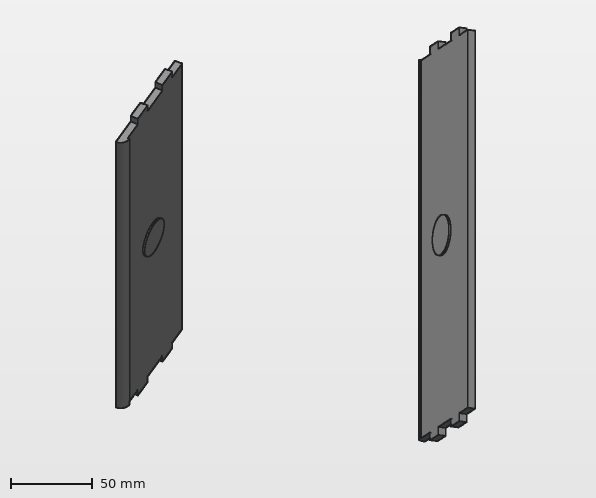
import cadquery as cq

plate_thickness = 5.0
plate_width = 76.2
overall_height = 251.5
tab_height = 5.0
plate_height = overall_height - 2 * tab_height
front_y = -plate_width / 2
back_y = plate_width / 2

lip_radius = 6.3
lip_y = front_y + lip_radius
relief_height = lip_radius - plate_thickness
pad_diameter = 25.1

tab_width = 12.5
tab_spacing = 31.7
tab_middle_y = (lip_y + back_y) / 2


def make_plate():
    """Plate whose -Y edge is a quarter round ending in a raised lip."""
    diagonal = lip_radius / 2**0.5
    profile = (
        cq.Workplane("XY")
        .moveTo(0, front_y)
        .threePointArc((diagonal, lip_y - diagonal), (lip_radius, lip_y))
        .lineTo(plate_thickness, lip_y)
        .lineTo(plate_thickness, back_y)
        .lineTo(0, back_y)
        .close()
    )
    return profile.extrude(plate_height / 2, both=True)


def make_tab_bar(center_y):
    """Full-height bar whose two ends form a top and a bottom tab."""
    return (
        cq.Workplane("XY")
        .center(plate_thickness / 2, center_y)
        .box(plate_thickness, tab_width, overall_height)
    )


def make_pad():
    """Shallow disc at the middle of the +X face, rooted in the plate."""
    return cq.Workplane("YZ").circle(pad_diameter / 2).extrude(plate_thickness + relief_height)


result = make_plate().union(make_pad())
for side in (-1, 1):
    result = result.union(make_tab_bar(tab_middle_y + side * tab_spacing / 2))